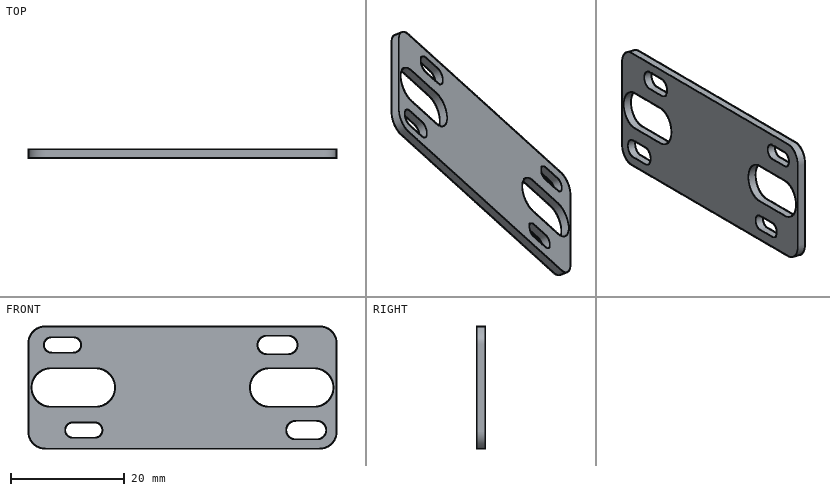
import cadquery as cq

plate_length = 54.5
plate_thickness = 1.6
plate_height = 21.65
corner_radius = 3.0

large_slot_length = 14.7
large_slot_width = 6.75
large_slot_offset = 19.3

narrow_slot_length = 6.55
narrow_slot_width = 2.65
wide_slot_length = 7.05
wide_slot_width = 3.2
slot_row_offset = 7.5
upper_left_x = -21.2
lower_left_x = -17.45
upper_right_x = 16.8
lower_right_x = 21.85


def cut_slots(body, centers, length, width):
    """Cut round-ended slots, long in X, through the plate thickness."""
    return body.faces("<Y").workplane(origin=(0, 0, 0)).pushPoints(centers).slot2D(length, width).cutThruAll()


plate = (
    cq.Workplane("XY")
    .box(plate_length, plate_thickness, plate_height)
    .edges("|Y")
    .fillet(corner_radius)
)

plate = cut_slots(
    plate,
    [(-large_slot_offset, 0), (large_slot_offset, 0)],
    large_slot_length,
    large_slot_width,
)
plate = cut_slots(
    plate,
    [(upper_left_x, slot_row_offset), (lower_left_x, -slot_row_offset)],
    narrow_slot_length,
    narrow_slot_width,
)
plate = cut_slots(
    plate,
    [(upper_right_x, slot_row_offset), (lower_right_x, -slot_row_offset)],
    wide_slot_length,
    wide_slot_width,
)

result = plate